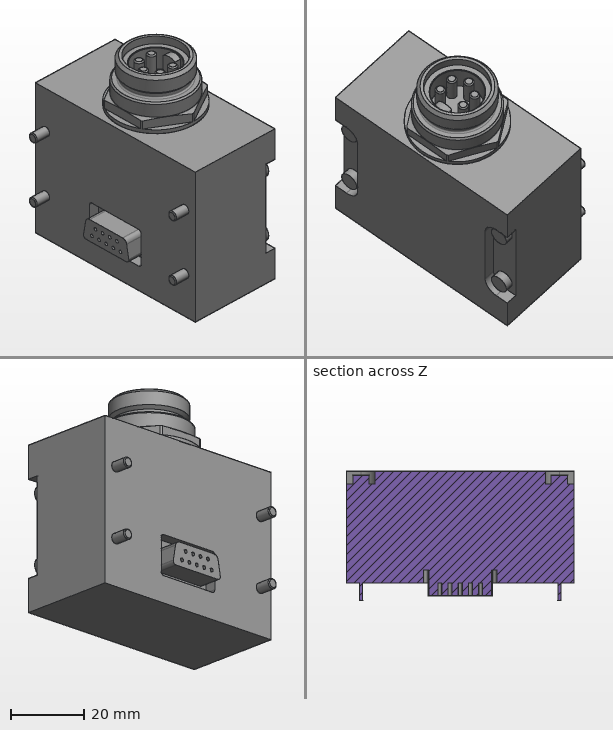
import cadquery as cq
import math

BODY_LENGTH = 62.0
BODY_DEPTH = 30.5
BODY_HEIGHT = 49.0
BACK_Y = 15.0
FRONT_Y = BACK_Y - BODY_DEPTH

SCREW_PITCH_X = 54.0
SCREW_LOW_Z = 14.0
SCREW_HIGH_Z = 35.0
SHANK_DIAMETER = 3.0
SHANK_PROTRUSION = 5.0
SHANK_CHAMFER = 0.3
HEAD_DIAMETER = 5.4
HEAD_HEIGHT = 2.4
POCKET_DEPTH = 3.5
POCKET_RADIUS = 4.0

DSUB_Z = 14.0
RECESS_WIDTH = 20.0
RECESS_HEIGHT = 12.0
RECESS_CORNER_RADIUS = 1.0
RECESS_DEPTH = 3.5
DSUB_PROTRUSION = 3.5
DSUB_BASE_WIDTH = 17.95
DSUB_HEIGHT = 7.1
DSUB_SIDE_ANGLE = 10.0
DSUB_TOP_RADIUS = 1.6
DSUB_BOTTOM_RADIUS = 1.0
CONTACT_HOLE_DIAMETER = 1.0
CONTACT_HOLE_DEPTH = 3.5
CONTACT_PITCH = 2.77
CONTACT_ROW_SPACING = 2.84
CONTACT_ROWS = ((4, 1), (5, -1))

SEAL_DIAMETER = 28.0
SEAL_TOP = 0.4
WASHER_DIAMETER = 29.0
WASHER_TOP = 1.6
HEX_ACROSS_FLATS = 25.4
HEX_SIDES = 6
HEX_TOP = 4.5
HEX_CHAMFER_WIDTH = 1.8
HEX_CHAMFER_HEIGHT = 0.3
COLLAR_DIAMETER = 25.1
COLLAR_TOP = 9.1
COLLAR_CHAMFER = 0.5
NECK_DIAMETER = 20.33
NECK_FILLET = 0.5
RIM_DIAMETER = 22.23
RIM_BOTTOM = 10.6
CONNECTOR_HEIGHT = 16.5
RIM_CHAMFER = (RIM_DIAMETER - NECK_DIAMETER) / 2

MOUTH_DIAMETER = 18.5
MOUTH_DEPTH = 2.5
CAVITY_DIAMETER = 15.0
CAVITY_DEPTH = 9.5
CAVITY_CHAMFER = 0.2
PIN_COUNT = 5
PIN_SPACING_ANGLE = 60.0
PIN_FIRST_ANGLE = 150.0
PIN_CIRCLE_RADIUS = 4.75
PIN_DIAMETER = 2.86
PIN_TIP_DEPTH = 2.4
PIN_CHAMFER = 0.4
KEY_WIDTH = 4.6
KEY_INNER_Y = 5.03
KEY_CREST_DEPTH = 2.95
KEY_ARCH_RISE = 0.7

RIM_Z = BODY_HEIGHT + CONNECTOR_HEIGHT


def cylinder_up(diameter, bottom_z, top_z, x=0.0, y=0.0):
    base = cq.Workplane("XY", origin=(x, y, bottom_z))
    return base.circle(diameter / 2).extrude(top_z - bottom_z)


def front_plane(y):
    """Plane facing -Y at the given depth, with local axes along +X and +Z."""
    return cq.Workplane("XZ", origin=(0, y, 0))


def make_body():
    base = cq.Workplane("XY", origin=(0, BACK_Y - BODY_DEPTH / 2, 0))
    return base.box(BODY_LENGTH, BODY_DEPTH, BODY_HEIGHT, centered=(True, True, False))


def make_rear_pocket(side):
    """Pocket open to the back and one end face, rounded around the two screw axes."""
    screw_x = side * SCREW_PITCH_X / 2
    end_x = side * BODY_LENGTH / 2
    inner_x = screw_x - side * POCKET_RADIUS
    top_z = SCREW_HIGH_Z + POCKET_RADIUS
    bottom_z = SCREW_LOW_Z - POCKET_RADIUS
    arc_offset = POCKET_RADIUS * math.sqrt(0.5)
    arc_x = screw_x - side * arc_offset
    return (
        front_plane(BACK_Y)
        .moveTo(end_x, bottom_z)
        .lineTo(screw_x, bottom_z)
        .threePointArc((arc_x, SCREW_LOW_Z - arc_offset), (inner_x, SCREW_LOW_Z))
        .lineTo(inner_x, SCREW_HIGH_Z)
        .threePointArc((arc_x, SCREW_HIGH_Z + arc_offset), (screw_x, top_z))
        .lineTo(end_x, top_z)
        .close()
        .extrude(POCKET_DEPTH)
    )


def make_screws():
    half_pitch = SCREW_PITCH_X / 2
    positions = [(x, z) for x in (-half_pitch, half_pitch) for z in (SCREW_LOW_Z, SCREW_HIGH_Z)]
    pocket_floor_y = BACK_Y - POCKET_DEPTH
    heads = (
        front_plane(pocket_floor_y + HEAD_HEIGHT)
        .pushPoints(positions)
        .circle(HEAD_DIAMETER / 2)
        .extrude(HEAD_HEIGHT)
    )
    shanks = (
        front_plane(pocket_floor_y)
        .pushPoints(positions)
        .circle(SHANK_DIAMETER / 2)
        .extrude(pocket_floor_y - FRONT_Y + SHANK_PROTRUSION)
        .faces("<Y")
        .chamfer(SHANK_CHAMFER)
    )
    return heads.union(shanks)


def make_dsub_recess():
    return (
        front_plane(FRONT_Y + RECESS_DEPTH)
        .center(0, DSUB_Z)
        .rect(RECESS_WIDTH, RECESS_HEIGHT)
        .extrude(RECESS_DEPTH)
        .edges("|Y")
        .fillet(RECESS_CORNER_RADIUS)
    )


def make_dsub_shell():
    half_base = DSUB_BASE_WIDTH / 2
    half_top = half_base - DSUB_HEIGHT * math.tan(math.radians(DSUB_SIDE_ANGLE))
    half_height = DSUB_HEIGHT / 2
    outline = [
        (-half_base, -half_height),
        (half_base, -half_height),
        (half_top, half_height),
        (-half_top, half_height),
    ]
    return (
        front_plane(FRONT_Y + RECESS_DEPTH)
        .center(0, DSUB_Z)
        .polyline(outline)
        .close()
        .extrude(RECESS_DEPTH + DSUB_PROTRUSION)
        .edges("|Y and >Z")
        .fillet(DSUB_TOP_RADIUS)
        .edges("|Y and <Z")
        .fillet(DSUB_BOTTOM_RADIUS)
    )


def make_contact_holes():
    positions = []
    for count, side in CONTACT_ROWS:
        for index in range(count):
            x = (index - (count - 1) / 2) * CONTACT_PITCH
            positions.append((x, DSUB_Z + side * CONTACT_ROW_SPACING / 2))
    return (
        front_plane(FRONT_Y - DSUB_PROTRUSION + CONTACT_HOLE_DEPTH)
        .pushPoints(positions)
        .circle(CONTACT_HOLE_DIAMETER / 2)
        .extrude(CONTACT_HOLE_DEPTH)
    )


def make_hex_nut():
    """Hexagon with flats facing +Y and -Y, its corners turned down to the washer diameter."""
    bottom_z = BODY_HEIGHT + WASHER_TOP
    height = HEX_TOP - WASHER_TOP
    across_corners = HEX_ACROSS_FLATS / math.cos(math.pi / HEX_SIDES)
    hexagon = cq.Workplane("XY", origin=(0, 0, bottom_z)).polygon(HEX_SIDES, across_corners).extrude(height)
    turned = cylinder_up(WASHER_DIAMETER, bottom_z, bottom_z + height)
    turned = turned.faces(">Z").chamfer(HEX_CHAMFER_HEIGHT, HEX_CHAMFER_WIDTH)
    return hexagon.intersect(turned)


def make_connector_shell():
    neck_radius = NECK_DIAMETER / 2
    rim_radius = RIM_DIAMETER / 2
    collar_radius = COLLAR_DIAMETER / 2
    fillet_offset = NECK_FILLET * (1 - math.sqrt(0.5))
    turned = (
        cq.Workplane("XZ")
        .lineTo(SEAL_DIAMETER / 2, 0)
        .lineTo(SEAL_DIAMETER / 2, SEAL_TOP)
        .lineTo(WASHER_DIAMETER / 2, SEAL_TOP)
        .lineTo(WASHER_DIAMETER / 2, WASHER_TOP)
        .lineTo(collar_radius, WASHER_TOP)
        .lineTo(collar_radius, COLLAR_TOP - COLLAR_CHAMFER)
        .lineTo(collar_radius - COLLAR_CHAMFER, COLLAR_TOP)
        .lineTo(neck_radius + NECK_FILLET, COLLAR_TOP)
        .threePointArc(
            (neck_radius + fillet_offset, COLLAR_TOP + fillet_offset),
            (neck_radius, COLLAR_TOP + NECK_FILLET),
        )
        .lineTo(neck_radius, RIM_BOTTOM)
        .lineTo(rim_radius, RIM_BOTTOM + RIM_CHAMFER)
        .lineTo(rim_radius, CONNECTOR_HEIGHT - RIM_CHAMFER)
        .lineTo(rim_radius - RIM_CHAMFER, CONNECTOR_HEIGHT)
        .lineTo(0, CONNECTOR_HEIGHT)
        .close()
        .revolve(360, (0, 0), (0, 1))
    )
    return turned.translate((0, 0, BODY_HEIGHT))


def make_connector_cavity():
    mouth_floor_z = RIM_Z - MOUTH_DEPTH
    mouth = cylinder_up(MOUTH_DIAMETER, mouth_floor_z, RIM_Z)
    cavity = cylinder_up(CAVITY_DIAMETER, RIM_Z - CAVITY_DEPTH, mouth_floor_z)
    countersink = (
        cq.Workplane("XY", origin=(0, 0, mouth_floor_z - CAVITY_CHAMFER))
        .circle(CAVITY_DIAMETER / 2)
        .workplane(offset=CAVITY_CHAMFER)
        .circle(CAVITY_DIAMETER / 2 + CAVITY_CHAMFER)
        .loft()
    )
    return mouth.union(cavity).union(countersink)


def make_contact_pins():
    floor_z = RIM_Z - CAVITY_DEPTH
    pins = cq.Workplane("XY")
    for index in range(PIN_COUNT):
        angle = math.radians(PIN_FIRST_ANGLE + index * PIN_SPACING_ANGLE)
        x = PIN_CIRCLE_RADIUS * math.cos(angle)
        y = PIN_CIRCLE_RADIUS * math.sin(angle)
        pin = cylinder_up(PIN_DIAMETER, floor_z, RIM_Z - PIN_TIP_DEPTH, x, y)
        pins = pins.union(pin.faces(">Z").chamfer(PIN_CHAMFER))
    return pins


def make_key():
    """Keying rib with an arched top, running from the cavity wall toward the axis."""
    half_width = KEY_WIDTH / 2
    floor_z = RIM_Z - CAVITY_DEPTH
    crest_z = RIM_Z - KEY_CREST_DEPTH
    spring_z = crest_z - KEY_ARCH_RISE
    rib = (
        front_plane(CAVITY_DIAMETER / 2)
        .moveTo(-half_width, floor_z)
        .lineTo(half_width, floor_z)
        .lineTo(half_width, spring_z)
        .threePointArc((0, crest_z), (-half_width, spring_z))
        .close()
        .extrude(CAVITY_DIAMETER / 2 - KEY_INNER_Y)
    )
    return rib.intersect(cylinder_up(CAVITY_DIAMETER, floor_z, RIM_Z))


housing = make_body()
for end in (-1, 1):
    housing = housing.cut(make_rear_pocket(end))
housing = housing.union(make_screws())
housing = housing.cut(make_dsub_recess())
housing = housing.union(make_dsub_shell())
housing = housing.cut(make_contact_holes())

connector = make_connector_shell().union(make_hex_nut())
connector = connector.cut(make_connector_cavity())
connector = connector.union(make_contact_pins()).union(make_key())

result = housing.union(connector)